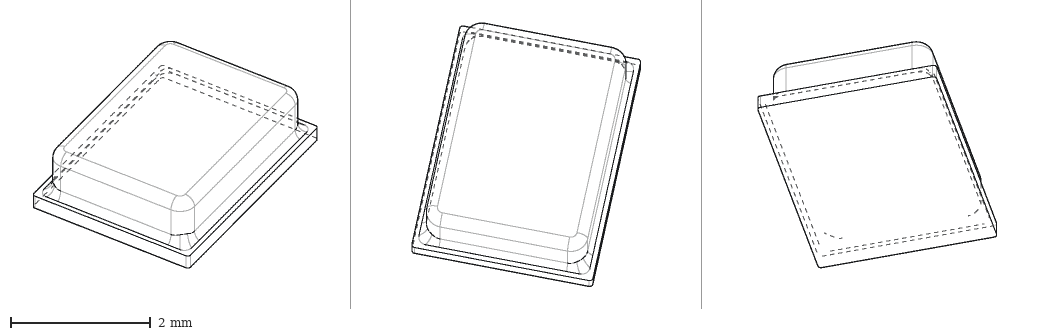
import cadquery as cq
import math

base_width = 2.65
base_length = 3.5
base_height = 0.225
base_corner_radius = 0.05

total_height = 0.98
lid_inset = 0.147
lid_corner_radius = 0.245
lid_top_fillet = 0.158
lid_width = base_width - 2 * lid_inset
lid_length = base_length - 2 * lid_inset

foot_inset = 0.075
foot_corner_radius = 0.122
flare_radius = 0.175
flare_root_radius = lid_corner_radius / 2
sections_per_patch = 4

corner_x = lid_width / 2 - lid_corner_radius
corner_y = lid_length / 2 - lid_corner_radius

foot_reach = lid_corner_radius + lid_inset - foot_inset
foot_arc_offset = foot_reach - foot_corner_radius
foot_arc_start = math.degrees(math.atan2(foot_arc_offset, foot_reach))


def foot_distance(angle):
    """Distance from the lid's corner centre to the foot outline in the given direction."""
    if angle <= foot_arc_start:
        return foot_reach / math.cos(math.radians(angle))
    if angle >= 90 - foot_arc_start:
        return foot_reach / math.sin(math.radians(angle))
    arc_centre_distance = foot_arc_offset * math.sqrt(2)
    from_diagonal = math.radians(angle - 45)
    along = arc_centre_distance * math.cos(from_diagonal)
    across = arc_centre_distance * math.sin(from_diagonal)
    return along + math.sqrt(foot_corner_radius**2 - across**2)


def draw_flare_section(sketch_plane, angle):
    """Upright section: the arc is tangent to the lid wall and ends on the foot outline."""
    foot = foot_distance(angle)
    arc_centre = lid_corner_radius + flare_radius
    sweep = math.acos((arc_centre - foot) / flare_radius)
    rise = flare_radius * math.sin(sweep)
    middle = (
        arc_centre - flare_radius * math.cos(sweep / 2),
        rise - flare_radius * math.sin(sweep / 2),
    )
    return (
        sketch_plane.moveTo(flare_root_radius, 0)
        .lineTo(foot, 0)
        .threePointArc(middle, (lid_corner_radius, rise))
        .lineTo(flare_root_radius, rise)
        .close()
    )


def radial_plane(angle):
    """Upright plane through the lid's corner centre, with its local X pointing outwards."""
    direction = math.radians(angle)
    outwards = (math.cos(direction), math.sin(direction), 0)
    normal = (math.sin(direction), -math.cos(direction), 0)
    return cq.Plane(origin=(corner_x, corner_y, base_height), xDir=outwards, normal=normal)


def corner_patch(start, end):
    """Flare body between two directions around the lid's corner."""
    wires = []
    for step in range(sections_per_patch):
        angle = start + (end - start) * step / (sections_per_patch - 1)
        section = draw_flare_section(cq.Workplane(radial_plane(angle)), angle)
        wires.append(section.val())
    return cq.Workplane(obj=cq.Solid.makeLoft(wires))


def flare_quarter():
    """Flare of one corner with the half sides that lead into it."""
    x_side = draw_flare_section(cq.Workplane(radial_plane(0)), 0).extrude(corner_y)
    y_side = draw_flare_section(cq.Workplane(radial_plane(90)), 90).extrude(-corner_x)
    quarter = x_side.union(y_side)
    patch_limits = [0, foot_arc_start, 90 - foot_arc_start, 90]
    for start, end in zip(patch_limits, patch_limits[1:]):
        quarter = quarter.union(corner_patch(start, end))
    return quarter


base = (
    cq.Workplane("XY")
    .rect(base_width, base_length)
    .extrude(base_height)
    .edges("|Z")
    .fillet(base_corner_radius)
)

lid = (
    cq.Workplane("XY")
    .rect(lid_width, lid_length)
    .extrude(total_height)
    .edges("|Z")
    .fillet(lid_corner_radius)
    .faces(">Z")
    .edges()
    .fillet(lid_top_fillet)
)

quarter = flare_quarter()
half = quarter.union(quarter.mirror("YZ"))
flare = half.union(half.mirror("XZ"))

result = base.union(lid).union(flare)